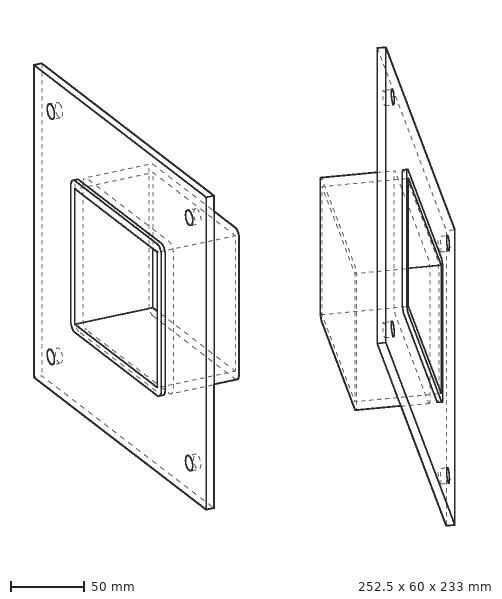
import cadquery as cq

plate_width = 252.5
plate_height = 233.0
plate_thickness = 6.0

wall = 6.0
opening_width = 120.5
opening_height = 101.0
duct_length = 60.0
front_projection = 3.0
duct_width = opening_width + 2 * wall
duct_height = opening_height + 2 * wall
corner_radius = wall

hole_diameter = 10.5
hole_inset = 25.0
hole_spacing_x = plate_width - 2 * hole_inset
hole_spacing_z = plate_height - 2 * hole_inset


def block_along_y(width, height, front, length):
    """Block centred on the Y axis, running from Y = front toward +Y."""
    return cq.Workplane("XY").box(width, length, height).translate((0, front + length / 2, 0))


def make_plate():
    plate = block_along_y(plate_width, plate_height, 0, plate_thickness)
    return (
        plate.faces("<Y")
        .workplane(centerOption="CenterOfBoundBox")
        .rect(hole_spacing_x, hole_spacing_z, forConstruction=True)
        .vertices()
        .hole(hole_diameter)
    )


def make_duct():
    duct = block_along_y(duct_width, duct_height, -front_projection, duct_length)
    return duct.edges("|Y").fillet(corner_radius)


opening = block_along_y(opening_width, opening_height, -front_projection, duct_length)

result = make_plate().union(make_duct()).cut(opening)